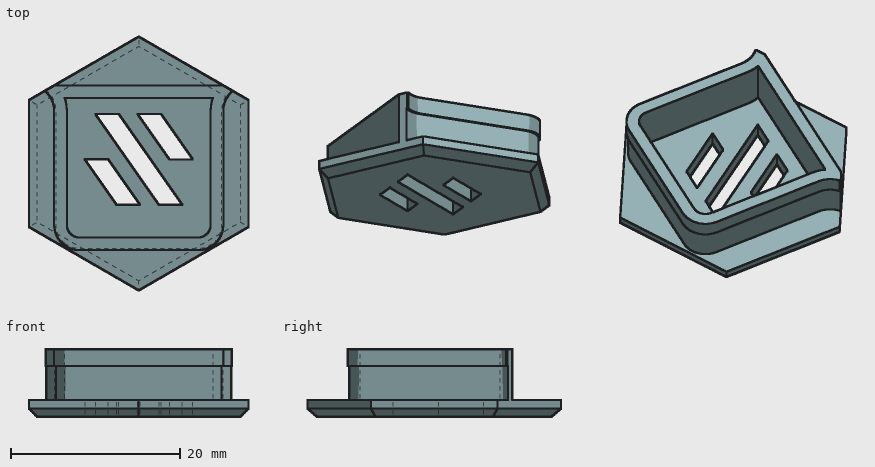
import cadquery as cq
import math

HEX_ACROSS_FLATS = 26.0
HEX_SIDES = 6
HEX_TURN = 30.0
BASE_THICKNESS = 2.0
BASE_CHAMFER = 1.0

TOTAL_HEIGHT = 8.0
FRAME_HALF_WIDTH = 10.0
FRAME_BACK_Y = 9.25
FRAME_FRONT_Y = -10.25
CORNER_RADIUS = 3.0
WALL_THICKNESS = 1.5

LIP_HEIGHT = 2.0
LIP_OVERHANG = 0.2
LIP_MAX_HALF_WIDTH = 11.0

SLOT_CENTER_Y = 0.5
SLOT_WIDTH = 2.75
LONG_SLOT_LENGTH_Y = 10.7
SHORT_SLOT_LENGTH_Y = LONG_SLOT_LENGTH_Y / 2
SLOT_PITCH = 5.0
SLOT_TILT = 35.0

HEX_CORNER_RADIUS = HEX_ACROSS_FLATS / math.sqrt(3)
FRAME_HEIGHT = TOTAL_HEIGHT - BASE_THICKNESS


def hexagon_prism(bottom_z, height):
    hexagon = cq.Workplane("XY", origin=(0, 0, bottom_z)).polygon(HEX_SIDES, 2 * HEX_CORNER_RADIUS)
    return hexagon.extrude(height).rotate((0, 0, 0), (0, 0, 1), HEX_TURN)


def frame_prism(side_inset, back_inset, bottom_z, height):
    """Block with rounded front corners whose sides flare outward to meet the back face.

    side_inset moves the front, the sides and the flares inward; back_inset moves the back face.
    """
    half_width = FRAME_HALF_WIDTH - side_inset
    front_y = FRAME_FRONT_Y + side_inset
    back_y = FRAME_BACK_Y - back_inset
    front_radius = CORNER_RADIUS - side_inset
    front_arc_mid = front_radius * (1 - math.sqrt(0.5))

    flare_radius = CORNER_RADIUS + side_inset
    flare_center_x = FRAME_HALF_WIDTH + CORNER_RADIUS
    flare_start_y = FRAME_BACK_Y - CORNER_RADIUS
    flare_sweep = math.asin((back_y - flare_start_y) / flare_radius)
    flare_end_x = flare_center_x - flare_radius * math.cos(flare_sweep)
    flare_mid_x = flare_center_x - flare_radius * math.cos(flare_sweep / 2)
    flare_mid_y = flare_start_y + flare_radius * math.sin(flare_sweep / 2)

    outline = (
        cq.Workplane("XY", origin=(0, 0, bottom_z))
        .moveTo(-half_width + front_radius, front_y)
        .lineTo(half_width - front_radius, front_y)
        .threePointArc(
            (half_width - front_arc_mid, front_y + front_arc_mid),
            (half_width, front_y + front_radius),
        )
        .lineTo(half_width, flare_start_y)
        .threePointArc((flare_mid_x, flare_mid_y), (flare_end_x, back_y))
        .lineTo(-flare_end_x, back_y)
        .threePointArc((-flare_mid_x, flare_mid_y), (-half_width, flare_start_y))
        .lineTo(-half_width, front_y + front_radius)
        .threePointArc(
            (-half_width + front_arc_mid, front_y + front_arc_mid),
            (-half_width + front_radius, front_y),
        )
        .close()
    )
    return outline.extrude(height)


def make_base():
    return hexagon_prism(0, BASE_THICKNESS).faces("<Z").edges().chamfer(BASE_CHAMFER)


def make_frame():
    """Frame wall and overhanging lip, both trimmed flush with the hexagon."""
    wall_height = FRAME_HEIGHT - LIP_HEIGHT
    lip_bottom = BASE_THICKNESS + wall_height
    wall = frame_prism(LIP_OVERHANG, 0, BASE_THICKNESS, wall_height)
    lip = frame_prism(0, 0, lip_bottom, LIP_HEIGHT)
    lip_limit = cq.Workplane("XY", origin=(0, 0, lip_bottom)).box(
        2 * LIP_MAX_HALF_WIDTH, 2 * HEX_CORNER_RADIUS, LIP_HEIGHT, centered=(True, True, False)
    )
    frame = wall.union(lip.intersect(lip_limit))
    return frame.intersect(hexagon_prism(BASE_THICKNESS, FRAME_HEIGHT))


def make_pocket():
    return frame_prism(WALL_THICKNESS, WALL_THICKNESS, BASE_THICKNESS, FRAME_HEIGHT)


def make_slot(top_left_x, top_y, length_y):
    """Parallelogram cutter with its ends parallel to X, leaning toward +X as it runs to -Y."""
    shift = length_y * math.tan(math.radians(SLOT_TILT))
    bottom_y = top_y - length_y
    corners = [
        (top_left_x, top_y),
        (top_left_x + SLOT_WIDTH, top_y),
        (top_left_x + SLOT_WIDTH + shift, bottom_y),
        (top_left_x + shift, bottom_y),
    ]
    return cq.Workplane("XY").polyline(corners).close().extrude(BASE_THICKNESS)


def make_slots():
    """Three slots, point-symmetric about the middle of the long one."""
    tilt_slope = math.tan(math.radians(SLOT_TILT))
    long_top_y = SLOT_CENTER_Y + LONG_SLOT_LENGTH_Y / 2
    long_left_x = -(SLOT_WIDTH + LONG_SLOT_LENGTH_Y * tilt_slope) / 2
    middle_left_x = -SLOT_WIDTH / 2
    long_slot = make_slot(long_left_x, long_top_y, LONG_SLOT_LENGTH_Y)
    right_slot = make_slot(long_left_x + SLOT_PITCH, long_top_y, SHORT_SLOT_LENGTH_Y)
    left_slot = make_slot(middle_left_x - SLOT_PITCH, SLOT_CENTER_Y, SHORT_SLOT_LENGTH_Y)
    return long_slot.union(right_slot).union(left_slot)


result = make_base().union(make_frame()).cut(make_pocket()).cut(make_slots())